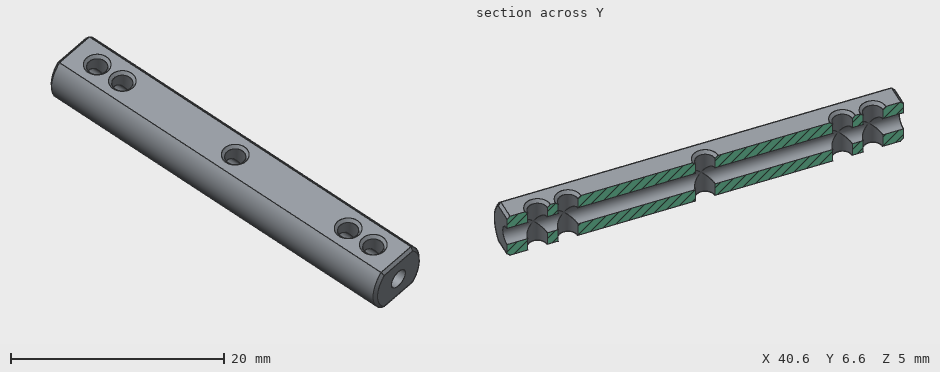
import cadquery as cq

length = 40.6
bar_diameter = 6.6
height_across_flats = 5.0
end_chamfer = 0.3

hole_diameter = 2.0
countersink_diameter = 2.6
countersink_angle = 90.0
inner_hole_offset = 14.05
hole_pitch = 3.13
outer_hole_offset = inner_hole_offset + hole_pitch
cross_hole_positions = [
    (x, 0) for x in (-outer_hole_offset, -inner_hole_offset, 0, inner_hole_offset, outer_hole_offset)
]


def flatted_bar():
    """Bar centred on the origin, with flats on top and bottom and chamfered ends."""
    cylinder = cq.Workplane("YZ").circle(bar_diameter / 2).extrude(length / 2, both=True)
    between_flats = cq.Workplane("XY").box(length, bar_diameter, height_across_flats)
    return cylinder.intersect(between_flats).faces("<X or >X").chamfer(end_chamfer)


def add_axial_hole(body):
    """Plain hole through the full length of the bar."""
    bore = cq.Workplane("YZ").circle(hole_diameter / 2).extrude(length / 2, both=True)
    return body.cut(bore)


def add_cross_holes(body):
    """Through holes in a row along the bar, countersunk in the top flat."""
    return (
        body.faces(">Z")
        .workplane(origin=(0, 0, 0))
        .pushPoints(cross_hole_positions)
        .cskHole(hole_diameter, countersink_diameter, countersink_angle)
    )


result = add_cross_holes(add_axial_hole(flatted_bar()))